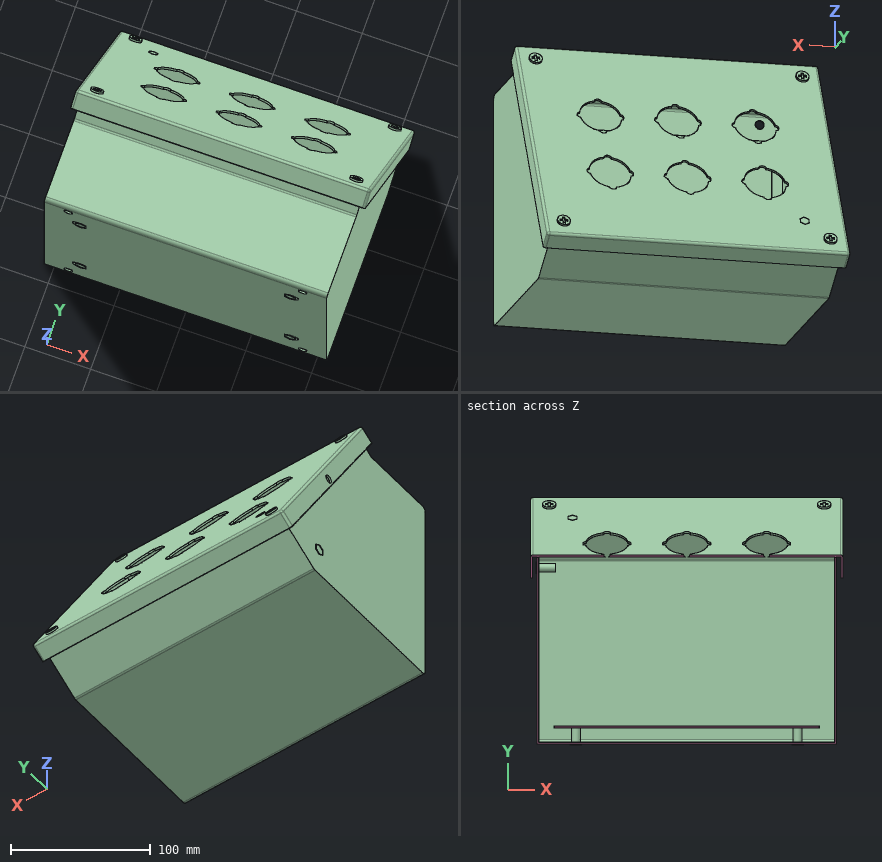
import cadquery as cq
import math


sheet = 1.52
slope = math.radians(30)

body_width = 214.6
body_height = 171.9
bend_radius = 3.3
mount_hole_dia = 6.35
mount_hole_pitch_x = 177.8
mount_hole_pitch_z = 154.4

stud_head_flats = 8.06
stud_post_dia = 6.35
stud_proud = 0.5
stud_pitch_x = 158.75
stud_pitch_z = 107.95
stud_hole_dia = 6.76
stud_hole_shift = 2.9
ground_stud_y = 126.3
ground_stud_z = 24.9
ground_stud_length = 12.0

cover_width = 223.84
cover_length = 192.09
cover_depth = 14.5
cover_bend_radius = 1.9
cover_center_y = 129.4
cover_center_z = 104.09
button_hole_dia = 30.5
button_pitch = 57.15
notch_reach = 17.2
notch_dia = 5.6
cover_stud_flats = 6.35
cover_stud_proud = 0.2
cover_stud_x = -81.7
cover_stud_down = 65.2
lip_hole_dia = 6.35
lip_hole_depth = 9.6
screw_head_dia = 9.5
screw_head_height = 1.5
screw_pitch_x = 196.85
screw_pitch_slope = 165.1
screw_slot_width = 1.6
screw_slot_length = 5.5
screw_slot_depth = 1.0

panel_width = 190.0
panel_height = 124.0
panel_standoff = 10.0

rim_margin = (cover_width - body_width) / 2
rim_length = cover_length - 2 * rim_margin

cover_plane = cq.Plane(
    origin=(0, cover_center_y, cover_center_z),
    xDir=(1, 0, 0),
    normal=(0, math.cos(slope), math.sin(slope)),
)


def rim_point(up_slope):
    """(Y, Z) of a point on the cover's underside, at a distance up the slope from its centre."""
    y = cover_center_y - sheet * math.cos(slope) - up_slope * math.sin(slope)
    z = cover_center_z - sheet * math.sin(slope) + up_slope * math.cos(slope)
    return y, z


def fold_y(rim, z):
    """Y where the wall that runs square to the cover from a rim point meets a height Z."""
    return rim[0] - (rim[1] - z) / math.tan(slope)


def housing_block():
    rim_top = rim_point(rim_length / 2)
    rim_bottom = rim_point(-rim_length / 2)
    profile = [
        (0, 0),
        (fold_y(rim_bottom, 0), 0),
        rim_bottom,
        rim_top,
        (fold_y(rim_top, body_height), body_height),
        (0, body_height),
    ]
    block = cq.Workplane("YZ").polyline(profile).close().extrude(body_width / 2, both=True)
    block = block.edges("|X and <Y").fillet(bend_radius)
    folds = [profile[1], profile[4]]
    for y, z in folds:
        fold_edge = cq.selectors.NearestToPointSelector((0, y, z))
        block = block.edges("|X").edges(fold_edge).fillet(bend_radius)
    return block


def back_stud_centers():
    """(X, Z) of the four studs in the back wall."""
    return [
        (side * stud_pitch_x / 2, body_height / 2 + level * stud_pitch_z / 2)
        for side in (-1, 1)
        for level in (-1, 1)
    ]


def back_hole(x, z, diameter):
    return cq.Workplane("XZ", origin=(x, 0, z)).circle(diameter / 2).extrude(-sheet)


def stud_head(plane, flats, thickness):
    """Hexagon in the given plane, with two corners on the plane's y axis."""
    corner_circle_dia = flats / math.cos(math.radians(30))
    head = cq.Workplane(plane).polygon(6, corner_circle_dia).extrude(thickness)
    return head.rotate(plane.origin, plane.origin + plane.zDir, 90)


def wall_stud(plane, post_length):
    """Stud with its hexagonal head through a housing wall and a round post on the inside."""
    head_thickness = stud_proud + sheet
    head = stud_head(plane, stud_head_flats, head_thickness)
    post = (
        cq.Workplane(plane)
        .workplane(offset=head_thickness)
        .circle(stud_post_dia / 2)
        .extrude(post_length)
    )
    return head.union(post)


def make_housing():
    block = housing_block()
    body = block.faces(cq.selectors.DirectionMinMaxSelector(cover_plane.zDir)).shell(-sheet)
    for side in (-1, 1):
        for level in (-1, 1):
            x = side * mount_hole_pitch_x / 2
            z = body_height / 2 + level * mount_hole_pitch_z / 2
            body = body.cut(back_hole(x, z, mount_hole_dia))
    for x, z in back_stud_centers():
        outward = math.copysign(stud_hole_shift, x)
        body = body.cut(back_hole(x + outward, z, stud_hole_dia))
        back_plane = cq.Plane(origin=(x, -stud_proud, z), xDir=(-1, 0, 0), normal=(0, 1, 0))
        body = body.union(wall_stud(back_plane, panel_standoff))
    side_plane = cq.Plane(
        origin=(-body_width / 2 - stud_proud, ground_stud_y, ground_stud_z),
        xDir=(0, 1, 0),
        normal=(1, 0, 0),
    )
    return body.union(wall_stud(side_plane, ground_stud_length))


def button_hole():
    """Round hole with four anti-rotation notches, cut from the cover's centre."""
    hole = cq.Workplane(cover_plane).circle(button_hole_dia / 2).extrude(-sheet)
    notch_offset = notch_reach - notch_dia / 2
    notches = (
        cq.Workplane(cover_plane)
        .polarArray(notch_offset, 0, 360, 4)
        .circle(notch_dia / 2)
        .extrude(-sheet)
    )
    return hole.union(notches)


def on_cover(x, down):
    """Offset that moves a shape from the cover's centre to a place on the cover."""
    return cover_plane.xDir * x + cover_plane.yDir * down


def screw_head():
    """Flat round head with a cross recess, at the cover's centre."""
    head = cq.Workplane(cover_plane).circle(screw_head_dia / 2).extrude(screw_head_height)
    top = cq.Workplane(cover_plane).workplane(offset=screw_head_height)
    cross = top.rect(screw_slot_length, screw_slot_width).extrude(-screw_slot_depth)
    cross = cross.union(top.rect(screw_slot_width, screw_slot_length).extrude(-screw_slot_depth))
    return head.cut(cross)


def make_cover():
    tray = cq.Workplane(cover_plane).rect(cover_width, cover_length).extrude(-cover_depth)
    open_side = cq.selectors.DirectionMinMaxSelector(cover_plane.zDir, directionMax=False)
    rounded = tray.edges(cq.selectors.InverseSelector(open_side)).fillet(cover_bend_radius)
    pocket = (
        cq.Workplane(cover_plane)
        .workplane(offset=-sheet)
        .rect(cover_width - 2 * sheet, cover_length - 2 * sheet)
        .extrude(sheet - cover_depth)
    )
    cover = rounded.cut(pocket)
    for column in (-1, 0, 1):
        for row in (-0.5, 0.5):
            place = on_cover(column * button_pitch, row * button_pitch)
            cover = cover.cut(button_hole().translate(place))
    stud = stud_head(cover_plane, cover_stud_flats, cover_stud_proud)
    cover = cover.union(stud.translate(on_cover(cover_stud_x, cover_stud_down)))
    lip_hole_center = cover_plane.toWorldCoords((-cover_width / 2, 0, -lip_hole_depth))
    lip_hole = cq.Workplane("YZ", origin=lip_hole_center).circle(lip_hole_dia / 2).extrude(sheet)
    cover = cover.cut(lip_hole)
    for side in (-1, 1):
        for end in (-1, 1):
            place = on_cover(side * screw_pitch_x / 2, end * screw_pitch_slope / 2)
            cover = cover.union(screw_head().translate(place))
    return cover


def make_panel():
    """Flat plate resting on the four back studs."""
    return cq.Workplane("XY").box(panel_width, sheet, panel_height).translate(
        (0, sheet + panel_standoff + sheet / 2, body_height / 2)
    )


housing = make_housing()
cover = make_cover()
panel = make_panel()

result = cq.Compound.makeCompound([housing.val(), cover.val(), panel.val()])